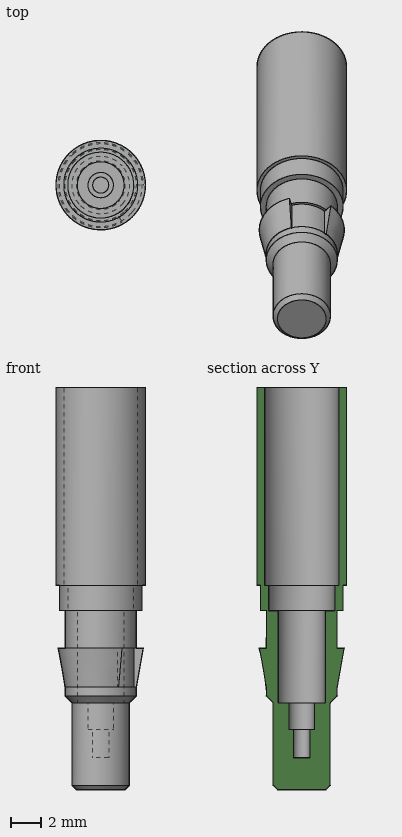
import cadquery as cq
import math

TOTAL_HEIGHT = 26.8
PIN_TOP = 5.8
CLIP_BOTTOM = 6.85
CLIP_TOP = 9.43
NECK_TOP = 11.93
COLLAR_TOP = 13.61

WIRE_HOLE_FLOOR = 2.15
CONTACT_FLOOR = 4.02

SLEEVE_DIAMETER = 5.98
COLLAR_DIAMETER = 5.52
NECK_DIAMETER = 4.75
GROOVE_DIAMETER = 4.45
PIN_DIAMETER = 3.83
PIN_TIP_CHAMFER = 0.3

CLIP_TOP_DIAMETER = 5.68
CLIP_FLARE_ANGLE = 10.0
CLIP_GAP_ANGLE = 60.0

BORE_STEPS = (
    (4.93, COLLAR_TOP),
    (4.4, NECK_TOP),
    (3.1, PIN_TOP),
    (1.7, CONTACT_FLOOR),
    (1.07, WIRE_HOLE_FLOOR),
)


def cylinder(diameter, bottom, top):
    """Solid cylinder on the Z axis between two heights."""
    return cq.Workplane("XY").workplane(offset=bottom).circle(diameter / 2).extrude(top - bottom)


def make_body():
    """Turned outside, as one half profile revolved about the Z axis."""
    pin_radius = PIN_DIAMETER / 2
    groove_radius = GROOVE_DIAMETER / 2
    neck_radius = NECK_DIAMETER / 2
    collar_radius = COLLAR_DIAMETER / 2
    sleeve_radius = SLEEVE_DIAMETER / 2
    shoulder_top = PIN_TOP + neck_radius - pin_radius
    return (
        cq.Workplane("XZ")
        .lineTo(pin_radius - PIN_TIP_CHAMFER, 0)
        .lineTo(pin_radius, PIN_TIP_CHAMFER)
        .lineTo(pin_radius, PIN_TOP)
        .lineTo(neck_radius, shoulder_top)
        .lineTo(neck_radius, CLIP_BOTTOM)
        .lineTo(groove_radius, CLIP_BOTTOM)
        .lineTo(groove_radius, CLIP_TOP)
        .lineTo(neck_radius, CLIP_TOP)
        .lineTo(neck_radius, NECK_TOP)
        .lineTo(collar_radius, NECK_TOP)
        .lineTo(collar_radius, COLLAR_TOP)
        .lineTo(sleeve_radius, COLLAR_TOP)
        .lineTo(sleeve_radius, TOTAL_HEIGHT)
        .lineTo(0, TOTAL_HEIGHT)
        .close()
        .revolve(360, (0, 0), (0, 1))
    )


def make_clip():
    """Flared ring around the groove, open from the +X axis towards -Y by the gap angle."""
    inner_radius = GROOVE_DIAMETER / 2
    top_radius = CLIP_TOP_DIAMETER / 2
    bottom_radius = top_radius - (CLIP_TOP - CLIP_BOTTOM) * math.tan(math.radians(CLIP_FLARE_ANGLE))
    return (
        cq.Workplane("XZ")
        .moveTo(inner_radius, CLIP_BOTTOM)
        .lineTo(bottom_radius, CLIP_BOTTOM)
        .lineTo(top_radius, CLIP_TOP)
        .lineTo(inner_radius, CLIP_TOP)
        .close()
        .revolve(360 - CLIP_GAP_ANGLE, (0, 0), (0, 1))
    )


result = make_body().union(make_clip())
for bore_diameter, floor_height in BORE_STEPS:
    result = result.cut(cylinder(bore_diameter, floor_height, TOTAL_HEIGHT))